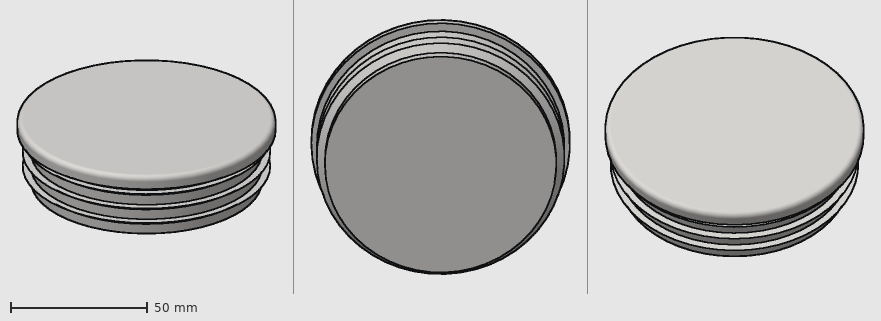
import cadquery as cq

flange_diameter = 95.0
flange_thickness = 5.0
flange_rounding = 2.0
total_height = 26.0

plug_diameter = 85.0
plug_height = total_height - flange_thickness

fin_diameter = 91.0
fin_height = 2.0
fin_count = 3
fin_pitch = 6.0
first_fin_gap = 3.0


def make_flange():
    """Disc with a rounded upper rim."""
    disc = cq.Workplane("XY").workplane(offset=plug_height).circle(flange_diameter / 2)
    return disc.extrude(flange_thickness).faces(">Z").edges().fillet(flange_rounding)


def make_fin(top):
    """Sealing fin with a flat top, tapering down to the plug wall."""
    plug_radius = plug_diameter / 2
    profile = (
        cq.Workplane("XZ")
        .moveTo(0, top)
        .lineTo(fin_diameter / 2, top)
        .lineTo(plug_radius, top - fin_height)
        .lineTo(0, top - fin_height)
        .close()
    )
    return profile.revolve(360, (0, 0), (0, 1))


plug = cq.Workplane("XY").circle(plug_diameter / 2).extrude(plug_height)
result = plug.union(make_flange())
for index in range(fin_count):
    result = result.union(make_fin(plug_height - first_fin_gap - index * fin_pitch))